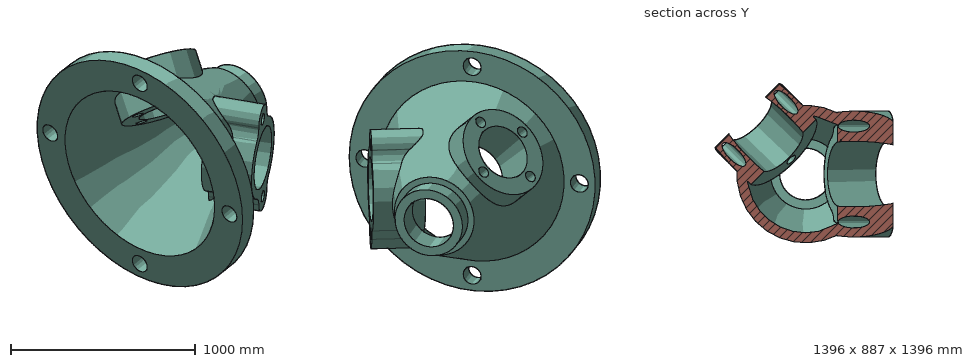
import cadquery as cq
import math

flange_radius = 698.0
flange_thickness = 100.0
flange_bolt_circle_radius = 608.0
flange_hole_radius = 50.0

cone_end_y = 787.0
cone_base_radius = 522.0
cone_top_radius = 226.0
cone_slope = (cone_base_radius - cone_top_radius) / (cone_end_y - flange_thickness)
cavity_mouth_radius = 508.0
cavity_end_radius = 190.0
cavity_depth = (cavity_mouth_radius - cavity_end_radius) / cone_slope

neck_radius = 191.0
neck_end_y = 887.0
neck_bore_radius = 140.0

branch_tilt = math.radians(21.5)
branch_inner_reach = 183.0
branch_bolt_hole_radius = 30.0

round_direction = (-math.sqrt(0.5), math.sqrt(0.5))
round_outer_reach = 425.0
round_face_y = 502.0
round_radius = 253.0
round_bore_radius = 153.0
round_bolt_offset = 200.0
round_side_bolt_shift = 27.0

eared_direction = (1.0, 0.0)
eared_outer_reach = 445.0
eared_face_y = 516.0
eared_radius = 229.0
eared_bore_radius = 176.0
ear_offset = 260.0
ear_radius = 82.0


def branch_plane(direction, reach, face_y):
    """Plane on a branch's outer face: normal outwards, local X square to the main axis."""
    dx, dz = direction
    cosine = math.cos(branch_tilt)
    return cq.Plane(
        origin=(dx * reach, face_y, dz * reach),
        xDir=(-dz, 0, dx),
        normal=(dx * cosine, math.sin(branch_tilt), dz * cosine),
    )


def branch_length(outer_reach):
    return (outer_reach - branch_inner_reach) / math.cos(branch_tilt)


def make_shell():
    outline = [
        (0, 0),
        (flange_radius, 0),
        (flange_radius, flange_thickness),
        (cone_base_radius, flange_thickness),
        (cone_top_radius, cone_end_y),
        (neck_radius, cone_end_y),
        (neck_radius, neck_end_y),
        (0, neck_end_y),
    ]
    cavity_outline = [
        (0, 0),
        (cavity_mouth_radius, 0),
        (cavity_end_radius, cavity_depth),
        (neck_bore_radius, cavity_depth),
        (neck_bore_radius, neck_end_y),
        (0, neck_end_y),
    ]
    body = cq.Workplane("XY").polyline(outline).close().revolve(360, (0, 0), (0, 1))
    cavity = cq.Workplane("XY").polyline(cavity_outline).close().revolve(360, (0, 0), (0, 1))
    bolt_holes = (
        cq.Workplane("XZ")
        .polarArray(flange_bolt_circle_radius, 0, 360, 4)
        .circle(flange_hole_radius)
        .extrude(-flange_thickness)
    )
    return body.cut(cavity).cut(bolt_holes)


def eared_outline(plane):
    """Ring with two rounded ears, joined by arcs tangent to the ring and the ear sides."""
    blend_radius = (ear_offset**2 + ear_radius**2 - eared_radius**2) / (2 * (eared_radius - ear_radius))
    blend_x = ear_offset
    blend_y = ear_radius + blend_radius
    ring_share = eared_radius / (eared_radius + blend_radius)
    ring_x = blend_x * ring_share
    ring_y = blend_y * ring_share
    middle_angle = (math.atan2(-blend_y, -blend_x) - math.pi / 2) / 2
    middle_x = blend_x + blend_radius * math.cos(middle_angle)
    middle_y = blend_y + blend_radius * math.sin(middle_angle)
    return (
        cq.Workplane(plane)
        .moveTo(ring_x, ring_y)
        .threePointArc((middle_x, middle_y), (ear_offset, ear_radius))
        .threePointArc((ear_offset + ear_radius, 0), (ear_offset, -ear_radius))
        .threePointArc((middle_x, -middle_y), (ring_x, -ring_y))
        .threePointArc((0, -eared_radius), (-ring_x, -ring_y))
        .threePointArc((-middle_x, -middle_y), (-ear_offset, -ear_radius))
        .threePointArc((-ear_offset - ear_radius, 0), (-ear_offset, ear_radius))
        .threePointArc((-middle_x, middle_y), (-ring_x, ring_y))
        .threePointArc((0, eared_radius), (ring_x, ring_y))
        .close()
    )


def branch_openings(plane, length, bore_radius, bolt_points):
    bore = cq.Workplane(plane).circle(bore_radius).extrude(-length)
    bolt_holes = cq.Workplane(plane).pushPoints(bolt_points).circle(branch_bolt_hole_radius).extrude(-length)
    return bore.union(bolt_holes)


round_plane = branch_plane(round_direction, round_outer_reach, round_face_y)
round_length = branch_length(round_outer_reach)
round_branch = cq.Workplane(round_plane).circle(round_radius).extrude(-round_length)
round_bolt_points = [
    (-round_bolt_offset, round_side_bolt_shift),
    (round_bolt_offset, round_side_bolt_shift),
    (0, -round_bolt_offset),
    (0, round_bolt_offset),
]
round_openings = branch_openings(round_plane, round_length, round_bore_radius, round_bolt_points)

eared_plane = branch_plane(eared_direction, eared_outer_reach, eared_face_y)
eared_length = branch_length(eared_outer_reach)
eared_branch = eared_outline(eared_plane).extrude(-eared_length)
eared_bolt_points = [(-ear_offset, 0), (ear_offset, 0)]
eared_openings = branch_openings(eared_plane, eared_length, eared_bore_radius, eared_bolt_points)

result = make_shell().union(round_branch).union(eared_branch)
result = result.cut(round_openings).cut(eared_openings)